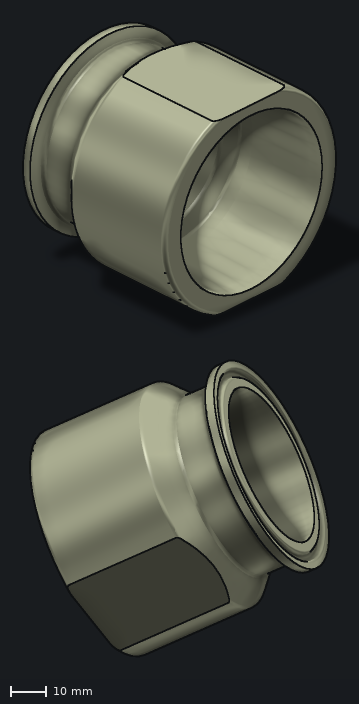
import cadquery as cq
import math

LENGTH = 59.5

FLANGE_RADIUS = 63.9 / 2
FLANGE_RIM_WIDTH = 2.85
FLANGE_BACK_ANGLE = 20.0
NECK_RADIUS = 55.7 / 2
BODY_RADIUS = 69.6 / 2
CONE_START = 15.3
NECK_FILLET = 1.45
CONE_FILLET = 1.5
MOUTH_FILLET = 1.5
ACROSS_FLATS = 63.35

BORE_RADIUS = 47.5 / 2
SOCKET_RADIUS = 54.9 / 2
BORE_LENGTH = 23.95
THREAD_DEPTH = 26.95
THREAD_TAPER = 1 / 16

GROOVE_RADIUS = 28.2
GROOVE_DEPTH = 1.6
GROOVE_WALL_ANGLE = 20.0
GROOVE_FLOOR_FILLET = 1.2
GROOVE_LIP_FILLET = 0.85

TOLERANCE = 0.01


def revolve_about_x(profile):
    return profile.close().revolve(360, (0, 0, 0), (1, 0, 0))


def fillet_circle(solid, x, radius, fillet_radius):
    """Round the circular edge that lies in the plane at x and has the given radius."""

    def is_wanted(edge):
        return abs(edge.Center().x - x) < TOLERANCE and abs(edge.radius() - radius) < TOLERANCE

    circles = solid.edges("%CIRCLE").filter(is_wanted)
    return circles.fillet(fillet_radius)


def outer_body():
    back_run = (FLANGE_RADIUS - NECK_RADIUS) * math.tan(math.radians(FLANGE_BACK_ANGLE))
    neck_start = FLANGE_RIM_WIDTH + back_run
    cone_end = CONE_START + BODY_RADIUS - NECK_RADIUS
    body = revolve_about_x(
        cq.Workplane("XY")
        .moveTo(0, 0)
        .lineTo(0, FLANGE_RADIUS)
        .lineTo(FLANGE_RIM_WIDTH, FLANGE_RADIUS)
        .lineTo(neck_start, NECK_RADIUS)
        .lineTo(CONE_START, NECK_RADIUS)
        .lineTo(cone_end, BODY_RADIUS)
        .lineTo(LENGTH, BODY_RADIUS)
        .lineTo(LENGTH, 0)
    )
    body = fillet_circle(body, neck_start, NECK_RADIUS, NECK_FILLET)
    body = fillet_circle(body, CONE_START, NECK_RADIUS, CONE_FILLET)
    body = fillet_circle(body, cone_end, BODY_RADIUS, CONE_FILLET)
    return fillet_circle(body, LENGTH, BODY_RADIUS, MOUTH_FILLET)


def wrench_flat_cut(side):
    """Block that trims the socket to a flat, above it for side = 1 and below it for side = -1."""
    socket_length = LENGTH - CONE_START
    block_height = BODY_RADIUS - ACROSS_FLATS / 2
    block_centre = (BODY_RADIUS + ACROSS_FLATS / 2) / 2
    return (
        cq.Workplane("XY")
        .box(socket_length, 2 * BODY_RADIUS, block_height)
        .translate((CONE_START + socket_length / 2, 0, side * block_centre))
    )


def through_passage():
    cone_end = BORE_LENGTH + SOCKET_RADIUS - BORE_RADIUS
    mouth_radius = SOCKET_RADIUS + THREAD_DEPTH * THREAD_TAPER / 2
    passage = revolve_about_x(
        cq.Workplane("XY")
        .moveTo(0, 0)
        .lineTo(0, BORE_RADIUS)
        .lineTo(BORE_LENGTH, BORE_RADIUS)
        .lineTo(cone_end, SOCKET_RADIUS)
        .lineTo(LENGTH - THREAD_DEPTH, SOCKET_RADIUS)
        .lineTo(LENGTH, mouth_radius)
        .lineTo(LENGTH, 0)
    )
    passage = fillet_circle(passage, BORE_LENGTH, BORE_RADIUS, CONE_FILLET)
    return fillet_circle(passage, cone_end, SOCKET_RADIUS, CONE_FILLET)


def gasket_groove():
    """Ring with a round floor, sloping walls and lips that curve out into the ferrule face."""
    slope = math.radians(GROOVE_WALL_ANGLE)
    floor_half_width = GROOVE_FLOOR_FILLET * math.cos(slope)
    floor_rise = GROOVE_FLOOR_FILLET * (1 - math.sin(slope))
    lip_width = GROOVE_LIP_FILLET * math.cos(slope)
    lip_drop = GROOVE_LIP_FILLET * (1 - math.sin(slope))
    wall_bottom = GROOVE_DEPTH - floor_rise
    wall_top_half_width = floor_half_width + (wall_bottom - lip_drop) * math.tan(slope)
    mouth_half_width = wall_top_half_width + lip_width

    half_turn = math.radians((90 - GROOVE_WALL_ANGLE) / 2)
    lip_mid_half_width = mouth_half_width - GROOVE_LIP_FILLET * math.sin(half_turn)
    lip_mid_depth = GROOVE_LIP_FILLET * (1 - math.cos(half_turn))

    def at(depth, offset):
        return (depth, GROOVE_RADIUS + offset)

    return revolve_about_x(
        cq.Workplane("XY")
        .moveTo(*at(0, -mouth_half_width))
        .threePointArc(at(lip_mid_depth, -lip_mid_half_width), at(lip_drop, -wall_top_half_width))
        .lineTo(*at(wall_bottom, -floor_half_width))
        .threePointArc(at(GROOVE_DEPTH, 0), at(wall_bottom, floor_half_width))
        .lineTo(*at(lip_drop, wall_top_half_width))
        .threePointArc(at(lip_mid_depth, lip_mid_half_width), at(0, mouth_half_width))
    )


result = outer_body()
for side in (1, -1):
    result = result.cut(wrench_flat_cut(side))
result = result.cut(through_passage()).cut(gasket_groove())